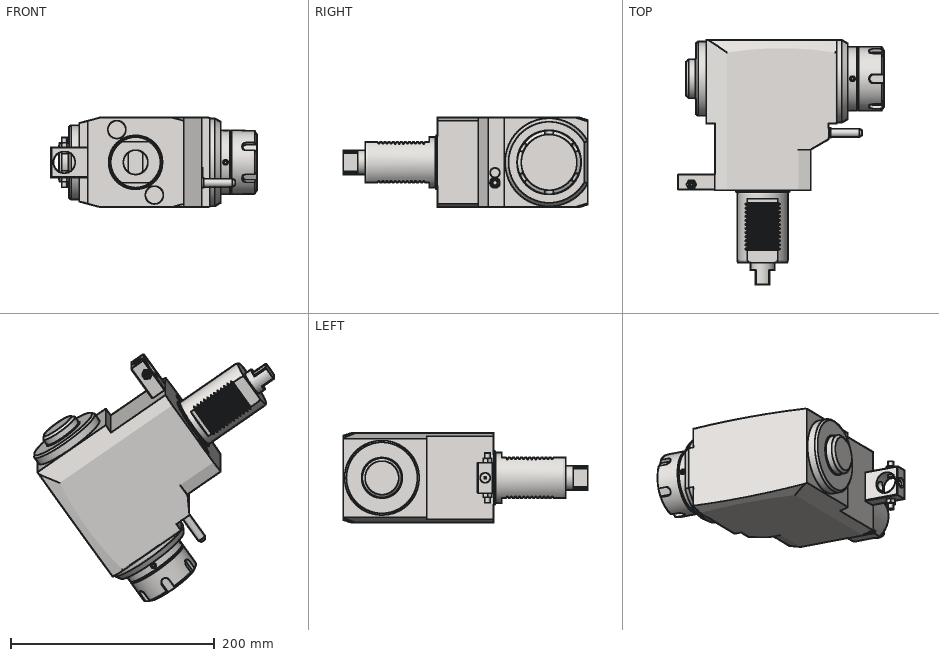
import cadquery as cq
import math


HALF_HEIGHT = 44.0
BACK_Y = 147.5
STEP_Y = 65.5
LEFT_UPPER_X = -55.4
LEFT_LOWER_X = -46.7
RIGHT_UPPER_X = 72.7
RIGHT_MIDDLE_X = 64.8
RIGHT_LOWER_X = 47.4
RIGHT_LOWER_TOP_Y = 40.0
BEVEL_SLOPE = math.tan(math.radians(15))
SHOULDER_SLOPE = math.tan(math.radians(30))
LEFT_BEVEL_X = -35.0
RIGHT_LOWER_BEVEL_X = 35.0
RIGHT_UPPER_BEVEL_X = 71.1
BACK_BEVEL_CENTER = (18.0, -188.5)
BACK_BEVEL_RADIUS = 328.0
BACK_BEVEL_WIDTH = 30.0
BACK_BEVEL_SLOPE = math.tan(math.radians(17.5))
PLUG_X = 18.4
PLUG_Z = 32.1
PLUG_DIAMETER = 17.6
PLUG_RECESS = 0.5

SHANK_RADIUS = 25.0
SHANK_LENGTH = 71.0
SHANK_COLLAR_RADIUS = 26.5
SHANK_COLLAR_RIM = 1.2
SHANK_COLLAR_LENGTH = 2.0
RELIEF_RADIUS = 24.7
RELIEF_END = 3.5
SHANK_END_RADIUS = 24.3
SHANK_CHAMFER_LENGTH = 2.8
FLAT_HEIGHT = 20.0
FLAT_START = 8.1
TOOTH_COUNT = 12
TOOTH_PITCH = 4.0
FIRST_TOOTH = 13.5
TOOTH_DEPTH = 1.9
TOOTH_HALF_WIDTH = 1.4

TANG_RADIUS = 12.0
TANG_SHOULDER = 78.2
TANG_END = 92.5
TANG_HALF_WIDTH = 7.0
TANG_FLAT_HALF_HEIGHT = 9.0
TANG_CORNER_X = 6.0

SPINDLE_Y = 109.5
CAP_RADIUS = 36.6
CAP_X = -65.5
CAP_CHAMFER_LENGTH = 2.2
CAP_CHAMFER_DEPTH = 1.8
KNOB_RADIUS = 19.2
KNOB_BASE_FLARE = 0.8
KNOB_X = -75.2
KNOB_CHAMFER = 2.7
FLANGE_RADIUS = 43.2
FLANGE_X = 83.7
FLANGE_CHAMFER_LENGTH = 6.0
COLLAR_RADIUS = 31.5
COLLAR_END_X = 92.4
NECK_RADIUS = 25.2
NUT_START_X = 93.6
NUT_EDGE = 0.6
NUT_TAPER_X = 115.3
NUT_CHAMFER_X = 116.7
NUT_RIM_RADIUS = 31.3
NUT_END_X = 119.1
NUT_END_RADIUS = 27.3
SLOT_COUNT = 6
SLOT_FLOOR_WIDTH = 8.0
SLOT_WALL_DRAFT = 8.0
SLOT_START_X = 104.9
SLOT_FLOOR_RADIUS = 27.5
SCREW_HOLE_X = 88.2
SCREW_HOLE_COUNT = 4
SCREW_HOLE_DIAMETER = 5.0
SCREW_HOLE_DEPTH = 1.5
SOCKET_DIAMETER = 3.0
SOCKET_DEPTH = 3.0

PIN_Y = 56.4
PIN_Z = -20.1
PIN_RADIUS = 4.15
PIN_END_X = 97.6
PIN_CHAMFER_LENGTH = 2.8
PIN_CHAMFER_DEPTH = 1.7
PIN_BASE_RADIUS = 4.9
PIN_BASE_LENGTH = 2.0
BUTTON_Z = -10.2
BUTTON_RADIUS = 4.7
BUTTON_HEIGHT = 1.2

BRACKET_END_X = -83.0
BRACKET_BOTTOM_Y = 0.5
BRACKET_WIDTH = 15.4
BRACKET_HALF_HEIGHT = 15.0
BRACKET_CHAMFER = 0.7
BORE_X = -69.9
BORE_DIAMETER = 21.2
CROSS_HOLE_DIAMETER = 9.8
CROSS_HOLE_END_X = -30.0
PILOT_DIAMETER = 2.2
PILOT_DEPTH = 2.0
CLAMP_SCREW_Y = 5.8
CLAMP_SCREW_RADIUS = 2.75
CLAMP_SCREW_INNER_Z = 8.3
CLAMP_SCREW_OUTER_Z = 24.5
CLAMP_SOCKET_FLATS = 2.5
CLAMP_SOCKET_DEPTH = 3.0
LOCKNUT_FLATS = 8.4
LOCKNUT_HEIGHT = 4.2
LOCKNUT_CHAMFER = 0.4

OVERLAP = 1.0


def turned_along_x(profile, y, z):
    """Solid of revolution about an X-parallel axis; profile is a list of (x, radius)."""
    points = [(profile[0][0], 0)] + profile + [(profile[-1][0], 0)]
    solid = cq.Workplane("XY").polyline(points).close().revolve(360, (0, 0), (1, 0))
    return solid.translate((0, y, z))


def turned_along_y(profile):
    """Solid of revolution about the shank axis; profile is a list of (radius, y)."""
    points = [(0, profile[0][1])] + profile + [(0, profile[-1][1])]
    return cq.Workplane("XY").polyline(points).close().revolve(360, (0, 0), (0, 1))


def box(x_range, y_range, z_range):
    """Box between the lower and upper limits along each axis."""
    low, high = zip(x_range, y_range, z_range)
    sizes = [b - a for a, b in zip(low, high)]
    return cq.Workplane("XY").box(*sizes, centered=False).translate(low)


def both_heights(solid):
    """The solid together with its mirror image below Z = 0."""
    return solid.union(solid.mirror("XY"))


def edge_bevel(start_x, end_x, y_range):
    """Wedges that slope the top and bottom faces down from start_x towards end_x."""
    drop = abs(end_x - start_x) * BEVEL_SLOPE
    wedge = (
        cq.Workplane("XZ", origin=(0, y_range[1], 0))
        .polyline([(start_x, HALF_HEIGHT), (end_x, HALF_HEIGHT), (end_x, HALF_HEIGHT - drop)])
        .close()
        .extrude(y_range[1] - y_range[0])
    )
    return both_heights(wedge)


def back_bevel():
    """Conical ring that slopes the top and bottom faces down towards the back."""
    outer = BACK_BEVEL_RADIUS + BACK_BEVEL_WIDTH
    drop = BACK_BEVEL_WIDTH * BACK_BEVEL_SLOPE
    ring = (
        cq.Workplane("XZ")
        .polyline([(BACK_BEVEL_RADIUS, HALF_HEIGHT), (outer, HALF_HEIGHT), (outer, HALF_HEIGHT - drop)])
        .close()
        .revolve(360, (0, 0), (0, 1))
        .translate((*BACK_BEVEL_CENTER, 0))
    )
    return both_heights(ring)


def make_housing():
    shoulder_y = RIGHT_LOWER_TOP_Y + (RIGHT_MIDDLE_X - RIGHT_LOWER_X) * SHOULDER_SLOPE
    outline = [
        (LEFT_LOWER_X, 0),
        (RIGHT_LOWER_X, 0),
        (RIGHT_LOWER_X, RIGHT_LOWER_TOP_Y),
        (RIGHT_MIDDLE_X, shoulder_y),
        (RIGHT_MIDDLE_X, STEP_Y),
        (RIGHT_UPPER_X, STEP_Y),
        (RIGHT_UPPER_X, BACK_Y),
        (LEFT_UPPER_X, BACK_Y),
        (LEFT_UPPER_X, STEP_Y),
        (LEFT_LOWER_X, STEP_Y),
    ]
    housing = cq.Workplane("XY").polyline(outline).close().extrude(HALF_HEIGHT, both=True)
    housing = housing.cut(edge_bevel(LEFT_BEVEL_X, LEFT_UPPER_X, (0, BACK_Y)))
    housing = housing.cut(edge_bevel(RIGHT_LOWER_BEVEL_X, RIGHT_LOWER_X, (0, RIGHT_LOWER_TOP_Y)))
    housing = housing.cut(edge_bevel(RIGHT_UPPER_BEVEL_X, RIGHT_UPPER_X, (STEP_Y, BACK_Y)))
    housing = housing.cut(back_bevel())
    plugs = (
        cq.Workplane("XZ")
        .pushPoints([(-PLUG_X, PLUG_Z), (PLUG_X, -PLUG_Z)])
        .circle(PLUG_DIAMETER / 2)
        .extrude(-PLUG_RECESS)
    )
    return housing.cut(plugs)


def make_shank():
    shank = turned_along_y([
        (SHANK_COLLAR_RADIUS, OVERLAP),
        (SHANK_COLLAR_RADIUS, -SHANK_COLLAR_RIM),
        (RELIEF_RADIUS, -SHANK_COLLAR_LENGTH),
        (SHANK_RADIUS, -RELIEF_END),
        (SHANK_RADIUS, SHANK_CHAMFER_LENGTH - SHANK_LENGTH),
        (SHANK_END_RADIUS, -SHANK_LENGTH),
    ])
    flat = box(
        (-SHANK_RADIUS, SHANK_RADIUS),
        (-SHANK_LENGTH, -FLAT_START),
        (FLAT_HEIGHT, SHANK_RADIUS + OVERLAP),
    )
    shank = shank.cut(both_heights(flat))
    for i in range(TOOTH_COUNT):
        y = -FIRST_TOOTH - i * TOOTH_PITCH
        groove = (
            cq.Workplane("YZ")
            .polyline([
                (y - TOOTH_HALF_WIDTH, FLAT_HEIGHT),
                (y + TOOTH_HALF_WIDTH, FLAT_HEIGHT),
                (y, FLAT_HEIGHT - TOOTH_DEPTH),
            ])
            .close()
            .extrude(SHANK_RADIUS, both=True)
        )
        shank = shank.cut(both_heights(groove))
    return shank


def make_tang():
    """Round drive end cut down to a blade with bevelled corners."""
    tang = turned_along_y([(TANG_RADIUS, OVERLAP - SHANK_LENGTH), (TANG_RADIUS, -TANG_END)])
    outside = TANG_RADIUS + OVERLAP
    corner_z = math.sqrt(TANG_RADIUS**2 - TANG_CORNER_X**2)
    cheek = (
        cq.Workplane("XZ", origin=(0, -TANG_SHOULDER, 0))
        .polyline([
            (TANG_HALF_WIDTH, -TANG_FLAT_HALF_HEIGHT),
            (TANG_HALF_WIDTH, TANG_FLAT_HALF_HEIGHT),
            (TANG_CORNER_X, corner_z),
            (outside, corner_z),
            (outside, -corner_z),
            (TANG_CORNER_X, -corner_z),
        ])
        .close()
        .extrude(TANG_END)
    )
    return tang.cut(cheek).cut(cheek.mirror("YZ"))


def make_left_cap():
    return turned_along_x([
        (KNOB_X, KNOB_RADIUS - KNOB_CHAMFER),
        (KNOB_X + KNOB_CHAMFER, KNOB_RADIUS),
        (CAP_X - KNOB_BASE_FLARE, KNOB_RADIUS),
        (CAP_X, KNOB_RADIUS + KNOB_BASE_FLARE),
        (CAP_X, CAP_RADIUS - CAP_CHAMFER_DEPTH),
        (CAP_X + CAP_CHAMFER_LENGTH, CAP_RADIUS),
        (LEFT_UPPER_X + OVERLAP, CAP_RADIUS),
    ], SPINDLE_Y, 0)


def make_flange():
    """Round flange with a flat flush with the back face, bevelled all round its outer end."""
    start_x = RIGHT_UPPER_X - OVERLAP
    flat_radius = BACK_Y - SPINDLE_Y
    chamfer_depth = FLANGE_CHAMFER_LENGTH * SHOULDER_SLOPE
    chamfer_x = FLANGE_X - FLANGE_CHAMFER_LENGTH
    flange = turned_along_x([
        (start_x, FLANGE_RADIUS),
        (chamfer_x, FLANGE_RADIUS),
        (FLANGE_X, FLANGE_RADIUS - chamfer_depth),
    ], SPINDLE_Y, 0)
    side = (
        cq.Workplane("XY")
        .polyline([
            (start_x, SPINDLE_Y + flat_radius),
            (chamfer_x, SPINDLE_Y + flat_radius),
            (FLANGE_X, SPINDLE_Y + flat_radius - chamfer_depth),
            (FLANGE_X, SPINDLE_Y - FLANGE_RADIUS),
            (start_x, SPINDLE_Y - FLANGE_RADIUS),
        ])
        .close()
        .extrude(FLANGE_RADIUS + OVERLAP, both=True)
    )
    return flange.intersect(side)


def collet_slot():
    """Spanner slot at the +Z side of the collet nut, open at the nut end."""
    radius = SLOT_FLOOR_WIDTH / 2
    end_x = NUT_END_X + OVERLAP
    return (
        cq.Workplane("XY", origin=(0, SPINDLE_Y, SLOT_FLOOR_RADIUS))
        .moveTo(end_x, -radius)
        .lineTo(SLOT_START_X + radius, -radius)
        .threePointArc((SLOT_START_X, 0), (SLOT_START_X + radius, radius))
        .lineTo(end_x, radius)
        .close()
        .extrude(COLLAR_RADIUS + OVERLAP - SLOT_FLOOR_RADIUS, taper=-SLOT_WALL_DRAFT)
    )


def collar_screw_hole():
    """Stepped radial hole at the +Z side of the spindle collar."""
    top = cq.Workplane("XY", origin=(SCREW_HOLE_X, SPINDLE_Y, COLLAR_RADIUS))
    wide = top.circle(SCREW_HOLE_DIAMETER / 2).extrude(-SCREW_HOLE_DEPTH)
    socket = top.circle(SOCKET_DIAMETER / 2).extrude(-SOCKET_DEPTH)
    return wide.union(socket)


def cut_around_spindle(body, cutter, count):
    for i in range(count):
        angle = 360 * i / count
        body = body.cut(cutter.rotate((0, SPINDLE_Y, 0), (1, SPINDLE_Y, 0), angle))
    return body


def make_spindle_nose():
    nose = turned_along_x([
        (FLANGE_X - OVERLAP, COLLAR_RADIUS),
        (COLLAR_END_X, COLLAR_RADIUS),
        (COLLAR_END_X, NECK_RADIUS),
        (NUT_START_X, NECK_RADIUS),
        (NUT_START_X, COLLAR_RADIUS - NUT_EDGE),
        (NUT_START_X + NUT_EDGE, COLLAR_RADIUS),
        (NUT_TAPER_X, COLLAR_RADIUS),
        (NUT_CHAMFER_X, NUT_RIM_RADIUS),
        (NUT_END_X, NUT_END_RADIUS),
    ], SPINDLE_Y, 0)
    nose = cut_around_spindle(nose, collet_slot(), SLOT_COUNT)
    return cut_around_spindle(nose, collar_screw_hole(), SCREW_HOLE_COUNT)


def make_pin():
    base_x = RIGHT_MIDDLE_X + PIN_BASE_LENGTH
    return turned_along_x([
        (RIGHT_MIDDLE_X - OVERLAP, PIN_BASE_RADIUS),
        (base_x, PIN_BASE_RADIUS),
        (base_x, PIN_RADIUS),
        (PIN_END_X - PIN_CHAMFER_LENGTH, PIN_RADIUS),
        (PIN_END_X, PIN_RADIUS - PIN_CHAMFER_DEPTH),
    ], PIN_Y, PIN_Z)


def make_button():
    return turned_along_x([
        (RIGHT_MIDDLE_X - OVERLAP, BUTTON_RADIUS),
        (RIGHT_MIDDLE_X + BUTTON_HEIGHT, BUTTON_RADIUS),
    ], PIN_Y, BUTTON_Z)


def make_bracket():
    bracket = box(
        (BRACKET_END_X, LEFT_LOWER_X),
        (BRACKET_BOTTOM_Y, BRACKET_BOTTOM_Y + BRACKET_WIDTH),
        (-BRACKET_HALF_HEIGHT, BRACKET_HALF_HEIGHT),
    )
    bracket = bracket.faces("<Y or >Y").edges("|Z and <X or |X").chamfer(BRACKET_CHAMFER)
    bore = (
        cq.Workplane("XZ", origin=(BORE_X, 0, 0))
        .circle(BORE_DIAMETER / 2)
        .extrude(-BRACKET_BOTTOM_Y - BRACKET_WIDTH - OVERLAP)
    )
    return bracket.cut(bore)


def cross_hole():
    """Blind hole along X through the bracket into the housing, with a small pilot at its bottom."""
    center_y = BRACKET_BOTTOM_Y + BRACKET_WIDTH / 2
    radius = CROSS_HOLE_DIAMETER / 2
    pilot_radius = PILOT_DIAMETER / 2
    return turned_along_x([
        (BRACKET_END_X, radius),
        (CROSS_HOLE_END_X, radius),
        (CROSS_HOLE_END_X, pilot_radius),
        (CROSS_HOLE_END_X + PILOT_DEPTH, pilot_radius),
    ], center_y, 0)


def make_clamp_screws():
    """Socket set screw with its hexagon locknut, above and below the bracket."""
    axis = cq.Workplane("XY").center(BORE_X, CLAMP_SCREW_Y)
    screw = (
        axis.workplane(offset=CLAMP_SCREW_INNER_Z)
        .circle(CLAMP_SCREW_RADIUS)
        .extrude(CLAMP_SCREW_OUTER_Z - CLAMP_SCREW_INNER_Z)
    )
    socket = (
        axis.workplane(offset=CLAMP_SCREW_OUTER_Z)
        .polygon(6, CLAMP_SOCKET_FLATS, circumscribed=True)
        .extrude(-CLAMP_SOCKET_DEPTH)
    )
    nut_base = axis.workplane(offset=BRACKET_HALF_HEIGHT)
    corner_radius = LOCKNUT_FLATS / math.sqrt(3)
    hexagon = nut_base.polygon(6, 2 * corner_radius).extrude(LOCKNUT_HEIGHT)
    rounding = nut_base.circle(corner_radius).extrude(LOCKNUT_HEIGHT).faces(">Z").chamfer(LOCKNUT_CHAMFER)
    locknut = hexagon.intersect(rounding)
    return both_heights(screw.cut(socket).union(locknut))


result = (
    make_housing()
    .union(make_shank())
    .union(make_tang())
    .union(make_left_cap())
    .union(make_flange())
    .union(make_spindle_nose())
    .union(make_pin())
    .union(make_button())
    .union(make_bracket())
    .cut(cross_hole())
    .union(make_clamp_screws())
)